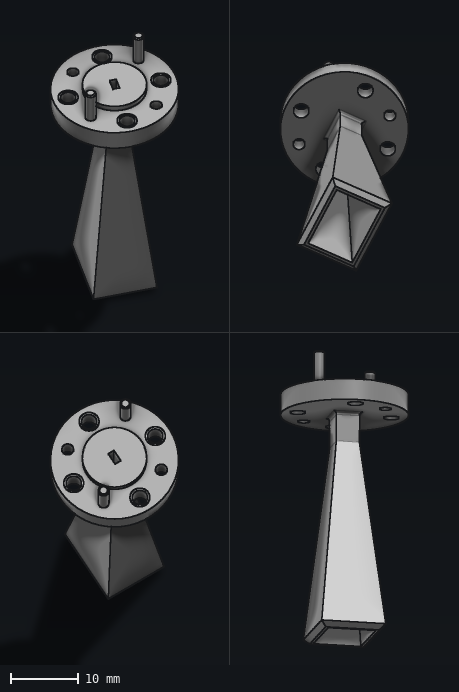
import cadquery as cq
import math

total_height = 42.25
flange_top = 37.2
flange_thickness = 3.15
flange_bottom = flange_top - flange_thickness
neck_bottom = 29.5
mouth_chamfer_height = 0.8

flange_diameter = 19.05
boss_diameter = 9.55
boss_height = 0.9

pitch_radius = 7.15
screw_hole_diameter = 2.3
counterbore_diameter = 2.95
counterbore_depth = 0.1
pin_hole_diameter = 1.75
pin_diameter = 1.6
pin_chamfer = 0.2

guide_x = 1.95
guide_y = 1.0
wall = 1.25
neck_x = guide_x + 2 * wall
neck_y = guide_y + 2 * wall
neck_fillet = 0.5
horn_x = 12.25
horn_y = 9.8
mouth_chamfer_width = 0.8


def pitch_points(*angles):
    """Points on the pitch circle at the given angles in degrees."""
    return [
        (pitch_radius * math.cos(math.radians(a)), pitch_radius * math.sin(math.radians(a)))
        for a in angles
    ]


def tapered_block(bottom_z, bottom_size, top_z, top_size):
    """Solid blending one centred rectangle into another above it."""
    return (
        cq.Workplane("XY", origin=(0, 0, bottom_z))
        .rect(*bottom_size)
        .workplane(offset=top_z - bottom_z)
        .rect(*top_size)
        .loft(ruled=True)
    )


def make_flange_and_neck():
    """Flange disc with its raised boss, and the neck filleted into its underside."""
    neck = cq.Workplane("XY", origin=(0, 0, neck_bottom)).rect(neck_x, neck_y).extrude(flange_top - neck_bottom)
    flange = cq.Workplane("XY", origin=(0, 0, flange_bottom)).circle(flange_diameter / 2).extrude(flange_thickness)
    boss = cq.Workplane("XY", origin=(0, 0, flange_top)).circle(boss_diameter / 2).extrude(boss_height)
    margin = neck_fillet / 2
    neck_root = cq.selectors.BoxSelector(
        (-neck_x, -neck_y, flange_bottom - margin),
        (neck_x, neck_y, flange_bottom + margin),
    )
    joined = flange.union(neck)
    return joined.edges(neck_root).edges("%LINE").fillet(neck_fillet).union(boss)


def make_horn():
    """Pyramidal horn with a chamfered mouth."""
    rim_size = (horn_x - 2 * mouth_chamfer_width, horn_y - 2 * mouth_chamfer_width)
    rim = tapered_block(0, rim_size, mouth_chamfer_height, (horn_x, horn_y))
    flare = tapered_block(mouth_chamfer_height, (horn_x, horn_y), neck_bottom, (neck_x, neck_y))
    return rim.union(flare)


def make_bore():
    """Waveguide passage that widens through the horn parallel to its wall."""
    guide_height = flange_top + boss_height - neck_bottom
    guide = cq.Workplane("XY", origin=(0, 0, neck_bottom)).rect(guide_x, guide_y).extrude(guide_height)
    mouth_size = (horn_x - 2 * wall, horn_y - 2 * wall)
    return guide.union(tapered_block(0, mouth_size, neck_bottom, (guide_x, guide_y)))


def drill_flange(body):
    """Four shallowly counterbored screw holes and two clearance holes for mating pins."""
    face = cq.Workplane("XY", origin=(0, 0, flange_top))
    screw_points = pitch_points(0, 90, 180, 270)
    screw_holes = face.pushPoints(screw_points).circle(screw_hole_diameter / 2).extrude(-flange_thickness)
    pin_holes = face.pushPoints(pitch_points(45, 225)).circle(pin_hole_diameter / 2).extrude(-flange_thickness)
    body = body.cut(screw_holes).cut(pin_holes)
    counterbores = face.pushPoints(screw_points).circle(counterbore_diameter / 2).extrude(-counterbore_depth)
    return body.cut(counterbores)


def make_pins():
    """Two chamfered alignment pins seated through the flange."""
    return (
        cq.Workplane("XY", origin=(0, 0, flange_bottom))
        .pushPoints(pitch_points(135, 315))
        .circle(pin_diameter / 2)
        .extrude(total_height - flange_bottom)
        .faces(">Z")
        .chamfer(pin_chamfer)
    )


body = make_flange_and_neck().union(make_horn()).cut(make_bore())
result = drill_flange(body).union(make_pins())